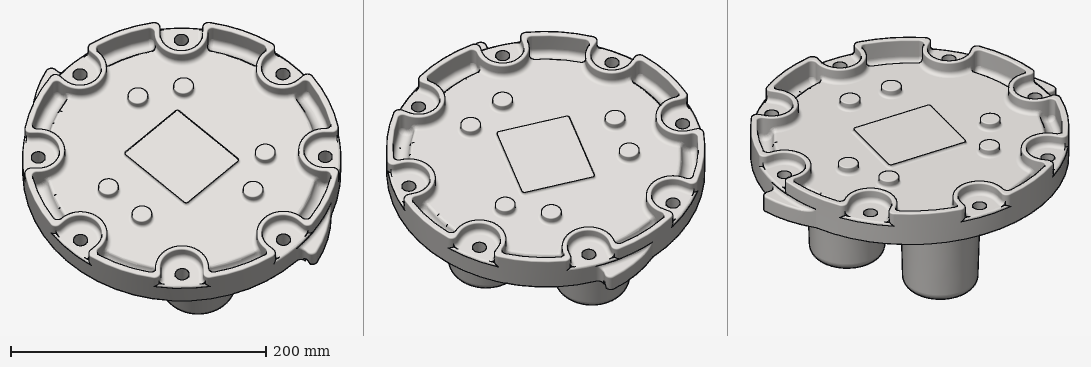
import cadquery as cq
import math

plate_radius = 124.8
rim_top = 28.8
rim_edge_fillet = 1.0

pad_count = 8
pad_top = 19.0
pad_edge_fillet = 2.0
bolt_circle_radius = 112.5
bolt_hole_diameter = 11.0
notch_radius = 16.7
notch_mouth_fillet = 4.7
notch_floor_fillet = 3.5

floor_top = 17.0
outer_wall_thickness = 5.2
notch_wall_thickness = 4.0
trough_depth = 8.2
trough_radius = 8.2
trough_lip_radius = 2.7
trough_wall_fillet = 4.7
notch_wall_foot_fillet = 3.8

boss_diameter = 15.6
boss_height = 6.5
boss_foot_fillet = 2.5
boss_top_fillet = 0.8
boss_pair_radius = 62.8
boss_spacing = 37.0

panel_length = 69.0
panel_width = 59.5
panel_height = 2.7
panel_corner_radius = 2.2
panel_foot_fillet = 2.2

lug_count = 2
lug_top = 14.0
lug_face_y = 7.0
lug_corner_x = 138.5
lug_back_end_y = 52.5
lug_back_radius = 96.0
lug_tip_fillet = 4.7
lug_root_fillet = 5.0
lug_overlap = 13.7
lug_edge_fillet = 1.6
lug_foot_fillet = 3.3
lug_groove_x = 131.0
lug_groove_radius = 3.3
lug_groove_length = 8.2

cup_count = 3
cup_circle_radius = 49.0
cup_mouth_diameter = 64.5
cup_base_diameter = 59.0
cup_depth = 90.3
cup_base_fillet = 7.5
first_cup_angle = 90.0


def turned_copies(shape, count, first_angle=0.0):
    """Copies of a shape spaced evenly about the Z axis."""
    step = 360 / count
    return [shape.rotate((0, 0, 0), (0, 0, 1), first_angle + i * step) for i in range(count)]


def distance_from_axis(point):
    return math.hypot(point.x, point.y)


def make_lug():
    """Lug on the +X side: rounded top edge, and a rounded foot that climbs the disc wall."""
    root_y = lug_face_y - lug_root_fillet
    root_x = math.sqrt((plate_radius + lug_root_fillet) ** 2 - root_y**2)
    root_angle = math.atan2(root_y, root_x)
    root_mid_angle = root_angle / 2 + 3 * math.pi / 4
    root_mid = (
        root_x + lug_root_fillet * math.cos(root_mid_angle),
        root_y + lug_root_fillet * math.sin(root_mid_angle),
    )
    root_end = (plate_radius * math.cos(root_angle), plate_radius * math.sin(root_angle))
    back_end_x = math.sqrt(plate_radius**2 - lug_back_end_y**2)
    foot_top = lug_top + lug_foot_fillet
    block = (
        cq.Workplane("XY")
        .moveTo(back_end_x, lug_back_end_y)
        .radiusArc((lug_corner_x, lug_face_y), lug_back_radius)
        .lineTo(root_x, lug_face_y)
        .threePointArc(root_mid, root_end)
        .lineTo(root_end[0] - lug_overlap, root_end[1])
        .lineTo(back_end_x - lug_overlap, lug_back_end_y - lug_overlap)
        .close()
        .extrude(foot_top)
        .edges(cq.NearestToPointSelector((lug_corner_x, lug_face_y, foot_top / 2)))
        .fillet(lug_tip_fillet)
    )
    above_lug = (
        cq.Workplane("XZ")
        .moveTo(plate_radius, foot_top)
        .radiusArc((plate_radius + lug_foot_fillet, lug_top), -lug_foot_fillet)
        .lineTo(2 * plate_radius, lug_top)
        .lineTo(2 * plate_radius, foot_top)
        .close()
        .revolve(360, (0, 0, 0), (0, 1, 0))
    )
    groove = (
        cq.Workplane("XZ", origin=(lug_groove_x, lug_face_y, 0))
        .circle(lug_groove_radius)
        .extrude(-lug_groove_length)
    )
    tip_point = (lug_corner_x, lug_face_y, lug_top)
    return (
        block.cut(above_lug)
        .edges(cq.NearestToPointSelector(tip_point))
        .fillet(lug_edge_fillet)
        .cut(groove)
    )


def make_disc_with_lugs():
    disc = cq.Workplane("XY").circle(plate_radius).extrude(rim_top)
    for lug in turned_copies(make_lug(), lug_count):
        disc = disc.union(lug)
    return disc


def notch_outline():
    """U around the bolt hole on +X whose mouth flares out tangent to the disc edge."""
    flare_y = notch_radius + notch_mouth_fillet
    flare_x = math.sqrt((plate_radius - notch_mouth_fillet) ** 2 - flare_y**2)
    edge_angle = math.atan2(flare_y, flare_x)
    mid_angle = (edge_angle - math.pi / 2) / 2
    tangent_run = 11.0
    far_x = plate_radius + 13.7

    def on_flare(angle):
        x = flare_x + notch_mouth_fillet * math.cos(angle)
        y = flare_y + notch_mouth_fillet * math.sin(angle)
        return x, y

    def mirrored(point):
        return point[0], -point[1]

    mid = on_flare(mid_angle)
    mouth = on_flare(edge_angle)
    tip = (
        mouth[0] - tangent_run * math.sin(edge_angle),
        mouth[1] + tangent_run * math.cos(edge_angle),
    )
    return (
        cq.Workplane("XY")
        .moveTo(flare_x, notch_radius)
        .threePointArc(mid, mouth)
        .lineTo(*tip)
        .lineTo(far_x, tip[1])
        .lineTo(far_x, -tip[1])
        .lineTo(*mirrored(tip))
        .lineTo(*mirrored(mouth))
        .threePointArc(mirrored(mid), (flare_x, -notch_radius))
        .lineTo(bolt_circle_radius, -notch_radius)
        .threePointArc((bolt_circle_radius - notch_radius, 0), (bolt_circle_radius, notch_radius))
        .close()
    )


def make_notch():
    """Space above the bolt pad on +X, and the cut that rounds the pad's outer edge."""
    inner_floor_point = (bolt_circle_radius - notch_radius, 0, 0)
    notch = (
        notch_outline()
        .extrude(rim_top - pad_top)
        .edges(cq.NearestToPointSelector(inner_floor_point))
        .fillet(notch_floor_fillet)
        .translate((0, 0, pad_top))
    )
    edge_start = plate_radius - pad_edge_fillet
    edge_bottom = pad_top - pad_edge_fillet
    clear_radius = plate_radius + 1.5
    edge_ring = (
        cq.Workplane("XZ")
        .moveTo(edge_start, pad_top)
        .radiusArc((plate_radius, edge_bottom), pad_edge_fillet)
        .lineTo(clear_radius, edge_bottom)
        .lineTo(clear_radius, rim_top)
        .lineTo(edge_start, rim_top)
        .close()
        .revolve(360, (0, 0, 0), (0, 1, 0))
    )
    pad_edge = notch_outline().extrude(rim_top).intersect(edge_ring)
    return notch, pad_edge


def make_cavity():
    """Space inside the rim: a turned shape with a trough, less the walls around the notches."""
    wall = plate_radius - outer_wall_thickness
    trough_bottom = floor_top - trough_depth
    trough_low = wall - trough_wall_fillet
    arc_reach = trough_radius + trough_lip_radius
    arc_drop = arc_reach - trough_depth
    arc_run = math.sqrt(arc_reach**2 - arc_drop**2)
    lip_share = trough_lip_radius / arc_reach
    lip_start = trough_low - arc_run
    lip_end = (
        lip_start + arc_run * lip_share,
        floor_top - trough_lip_radius + arc_drop * lip_share,
    )
    cavity = (
        cq.Workplane("XZ")
        .moveTo(0, floor_top)
        .lineTo(lip_start, floor_top)
        .radiusArc(lip_end, trough_lip_radius)
        .radiusArc((trough_low, trough_bottom), -trough_radius)
        .radiusArc((wall, trough_bottom + trough_wall_fillet), -trough_wall_fillet)
        .lineTo(wall, rim_top)
        .lineTo(0, rim_top)
        .close()
        .revolve(360, (0, 0, 0), (0, 1, 0))
    )
    wall_radius = notch_radius + notch_wall_thickness
    notch_wall = (
        cq.Workplane("XY", origin=(bolt_circle_radius, 0, 0))
        .moveTo(wall_radius, -wall_radius)
        .lineTo(0, -wall_radius)
        .threePointArc((-wall_radius, 0), (0, wall_radius))
        .lineTo(wall_radius, wall_radius)
        .close()
        .extrude(rim_top)
    )
    for island in turned_copies(notch_wall, pad_count):
        cavity = cavity.cut(island)

    corners = [
        edge for edge in cavity.edges("|Z").vals()
        if distance_from_axis(edge.Center()) > wall - 0.3
    ]
    return cavity.newObject(corners).fillet(notch_wall_foot_fillet)


def make_boss():
    """Terminal boss at the origin, reaching a little below the cavity floor to join it."""
    boss_radius = boss_diameter / 2
    foot_radius = boss_radius + boss_foot_fillet
    boss_top = floor_top + boss_height
    root = floor_top - trough_depth
    return (
        cq.Workplane("XZ")
        .moveTo(0, root)
        .lineTo(foot_radius, root)
        .lineTo(foot_radius, floor_top)
        .radiusArc((boss_radius, floor_top + boss_foot_fillet), boss_foot_fillet)
        .lineTo(boss_radius, boss_top - boss_top_fillet)
        .radiusArc((boss_radius - boss_top_fillet, boss_top), -boss_top_fillet)
        .lineTo(0, boss_top)
        .close()
        .revolve(360, (0, 0, 0), (0, 1, 0))
    )


def add_bosses(plate):
    first_pair_angle = first_cup_angle + 180
    for side in (-1, 1):
        boss = make_boss().translate((boss_pair_radius, side * boss_spacing / 2, 0))
        for copy in turned_copies(boss, cup_count, first_pair_angle):
            plate = plate.union(copy)
    return plate


def add_panel(plate):
    panel = (
        cq.Workplane("XY", origin=(0, 0, floor_top))
        .rect(panel_length, panel_width)
        .extrude(panel_height)
        .edges("|Z")
        .fillet(panel_corner_radius)
    )
    foot_box = cq.selectors.BoxSelector(
        (-panel_length, -panel_width, floor_top - 0.1 * panel_height),
        (panel_length, panel_width, floor_top + 0.1 * panel_height),
    )
    return plate.union(panel).edges(foot_box).fillet(panel_foot_fillet)


def drill_bolt_holes(plate):
    hole = (
        cq.Workplane("XY", origin=(bolt_circle_radius, 0, 0))
        .circle(bolt_hole_diameter / 2)
        .extrude(rim_top)
    )
    for cut in turned_copies(hole, pad_count):
        plate = plate.cut(cut)
    return plate


def make_plate():
    plate = make_disc_with_lugs()
    notch, pad_edge = make_notch()
    for cut in turned_copies(notch, pad_count) + turned_copies(pad_edge, pad_count):
        plate = plate.cut(cut)
    plate = plate.cut(make_cavity())
    plate = plate.faces(">Z").edges().fillet(rim_edge_fillet)
    plate = add_panel(plate)
    plate = add_bosses(plate)
    return drill_bolt_holes(plate)


def make_cup():
    return (
        cq.Workplane("XY", origin=(cup_circle_radius, 0, 0))
        .circle(cup_mouth_diameter / 2)
        .workplane(offset=-cup_depth)
        .circle(cup_base_diameter / 2)
        .loft(ruled=True)
        .faces("<Z")
        .edges()
        .fillet(cup_base_fillet)
    )


plate = make_plate()
cups = turned_copies(make_cup(), cup_count, first_cup_angle)
result = cq.Compound.makeCompound([plate.val(), *[cup.val() for cup in cups]])